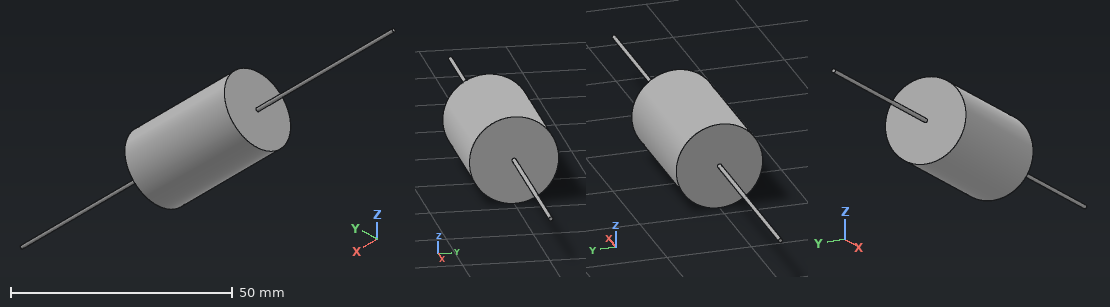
import cadquery as cq

lead_length = 123.0
lead_diameter = 1.0
case_length = 33.0
case_diameter = 20.5


def make_rod(diameter, length):
    """Solid cylinder along X, centred on the origin."""
    return cq.Workplane("YZ", origin=(-length / 2, 0, 0)).circle(diameter / 2).extrude(length)


def make_lead():
    """Lead wire that runs through the case and sticks out equally at both ends."""
    return make_rod(lead_diameter, lead_length)


def make_case():
    """Case with a bore along its axis that fits the lead wire."""
    bore = make_rod(lead_diameter, case_length)
    return make_rod(case_diameter, case_length).cut(bore)


case = make_case()
lead = make_lead()

result = cq.Compound.makeCompound([case.val(), lead.val()])